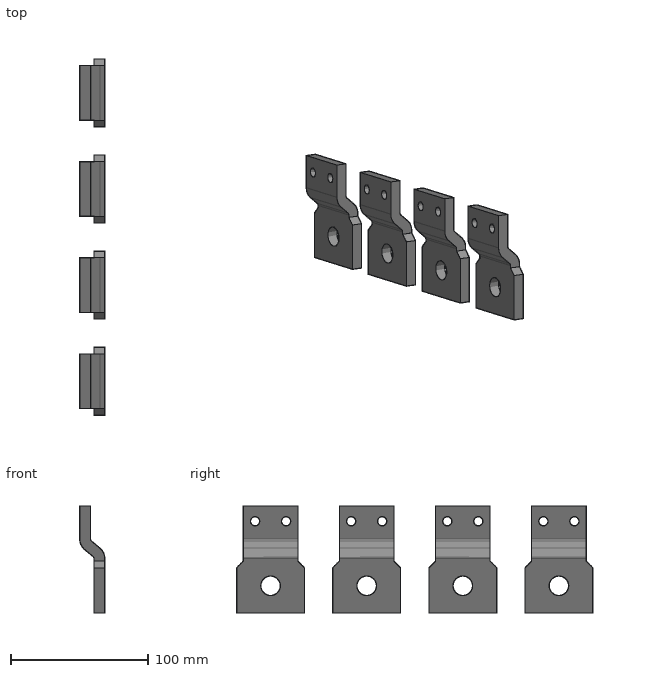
import cadquery as cq
import math

bracket_count = 4
row_length = 259.5
foot_width = 49.5
pitch = (row_length - foot_width) / (bracket_count - 1)

height = 78.0
thickness = 8.0
offset = 10.5
bend_angle = math.radians(50)
inner_radius = 2.0
outer_radius = inner_radius + thickness
lower_bend_z = 39.7

tab_width = 40.0
shoulder = (foot_width - tab_width) / 2
shoulder_top_z = 38.0

foot_hole_diameter = 14.0
foot_hole_z = 20.0
tab_hole_diameter = 6.5
tab_hole_z = 67.0
tab_hole_spacing = 22.5

mid_radius = inner_radius + thickness / 2
slope_length = (offset - 2 * mid_radius * (1 - math.cos(bend_angle))) / math.sin(bend_angle)
crank_height = 2 * mid_radius * math.sin(bend_angle) + slope_length * math.cos(bend_angle)
upper_bend_z = lower_bend_z + crank_height

lower_centre = (offset - inner_radius, lower_bend_z)
upper_centre = (thickness + inner_radius, upper_bend_z)


def on_bend(centre, radius, angle):
    """Point on a bend; the angle is measured from +X toward +Z."""
    return (centre[0] + radius * math.cos(angle), centre[1] + radius * math.sin(angle))


def cranked_strip():
    """Full-width strip with the cranked side profile, centred on Y = 0."""

    def lower_bend(radius, turn):
        return on_bend(lower_centre, radius, turn)

    def upper_bend(radius, turn):
        return on_bend(upper_centre, radius, math.pi + turn)

    half_turn = bend_angle / 2
    return (
        cq.Workplane("XZ")
        .moveTo(offset, 0)
        .lineTo(offset + thickness, 0)
        .lineTo(*lower_bend(outer_radius, 0))
        .threePointArc(lower_bend(outer_radius, half_turn), lower_bend(outer_radius, bend_angle))
        .lineTo(*upper_bend(inner_radius, bend_angle))
        .threePointArc(upper_bend(inner_radius, half_turn), upper_bend(inner_radius, 0))
        .lineTo(thickness, height)
        .lineTo(0, height)
        .lineTo(*upper_bend(outer_radius, 0))
        .threePointArc(upper_bend(outer_radius, half_turn), upper_bend(outer_radius, bend_angle))
        .lineTo(*lower_bend(inner_radius, bend_angle))
        .threePointArc(lower_bend(inner_radius, half_turn), lower_bend(inner_radius, 0))
        .close()
        .extrude(foot_width / 2, both=True)
    )


def face_outline():
    """Prism that trims the strip to a wide foot, 45 degree shoulders and a narrower tab."""
    right_half = [
        (foot_width / 2, 0),
        (foot_width / 2, shoulder_top_z - shoulder),
        (tab_width / 2, shoulder_top_z),
        (tab_width / 2, height),
    ]
    left_half = [(-y, z) for y, z in reversed(right_half)]
    return cq.Workplane("YZ").polyline(right_half + left_half).close().extrude(offset + thickness)


def hole_cutters():
    """One large hole in the foot and two small holes in the tab, all along X."""
    through = offset + thickness
    foot_hole = cq.Workplane("YZ").center(0, foot_hole_z).circle(foot_hole_diameter / 2).extrude(through)
    tab_holes = (
        cq.Workplane("YZ")
        .pushPoints([(side * tab_hole_spacing / 2, tab_hole_z) for side in (-1, 1)])
        .circle(tab_hole_diameter / 2)
        .extrude(through)
    )
    return foot_hole.add(tab_holes).combine()


def make_bracket(y_centre):
    bracket = cranked_strip().intersect(face_outline()).cut(hole_cutters())
    return bracket.translate((0, y_centre, 0))


brackets = [make_bracket(foot_width / 2 + index * pitch) for index in range(bracket_count)]

result = cq.Compound.makeCompound([bracket.val() for bracket in brackets])